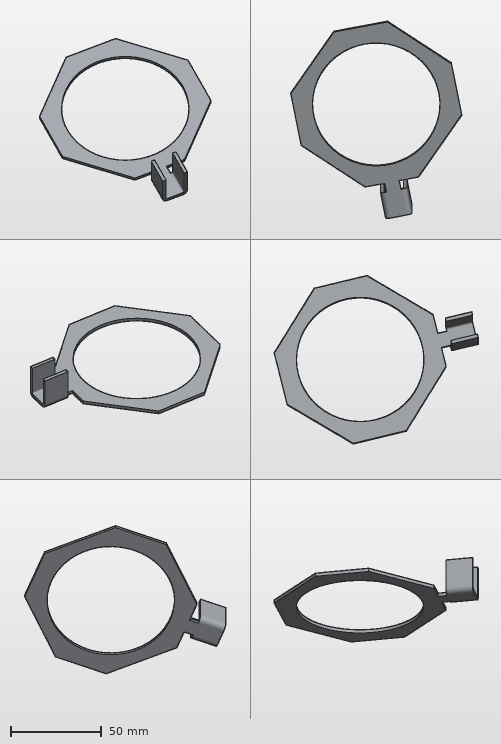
import cadquery as cq

total_length = 110.0
ring_width = 90.0
corner_cut = ring_width / 3
hole_diameter = 70.0
thickness = 2.0
neck_width = 8.2
clip_length = 15.0
clip_width = 15.0
clip_height = 20.0
bend_inner_radius = 1.0

ring_half = ring_width / 2
clip_end = total_length - ring_half
clip_start = clip_end - clip_length
bend_outer_radius = bend_inner_radius + thickness


def octagonal_ring():
    """Flat square plate with cut corners and a large round opening."""
    plate = cq.Workplane("XY").rect(ring_width, ring_width).extrude(thickness)
    plate = plate.edges("|Z").chamfer(corner_cut)
    return plate.faces(">Z").workplane().hole(hole_diameter)


def neck():
    """Narrow strip joining the ring to the clip."""
    rim_middle = (ring_half + hole_diameter / 2) / 2
    clip_middle = (clip_start + clip_end) / 2
    return cq.Workplane("XY").box(
        clip_middle - rim_middle, neck_width, thickness, centered=(False, True, False)
    ).translate((rim_middle, 0, 0))


def clip():
    """U-shaped sheet clip, open upward, with rounded bends along its length."""
    outer = cq.Workplane("XY").box(
        clip_length, clip_width, clip_height, centered=(False, True, False)
    ).edges("|X and <Z").fillet(bend_outer_radius)
    inner = cq.Workplane("XY").box(
        clip_length, clip_width - 2 * thickness, clip_height - thickness, centered=(False, True, False)
    ).edges("|X and <Z").fillet(bend_inner_radius)
    return outer.cut(inner.translate((0, 0, thickness))).translate((clip_start, 0, 0))


result = octagonal_ring().union(neck()).union(clip())